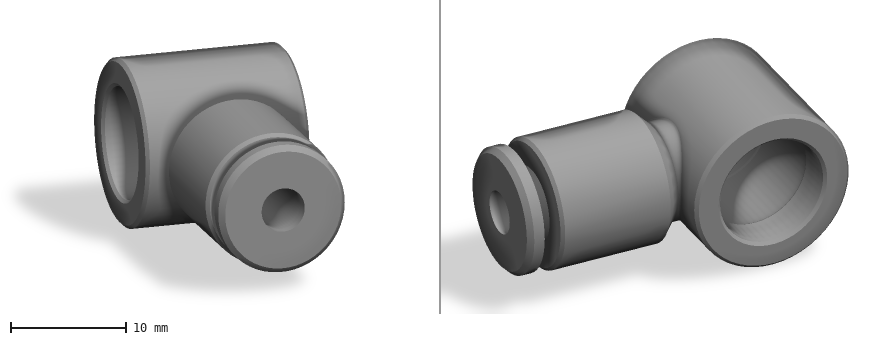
import cadquery as cq

ring_radius = 7.5
ring_length = 2 * ring_radius
ring_chamfer = 0.3
bore_radius = 5.0
bore_chamfer = 0.27
overall_length = 30.3

relief_depth = 0.1
relief_taper = 0.18
relief_half_length = ring_length / 4 + relief_taper

neck_radius = 4.5
neck_end = 7.7
body_radius = 6.0
shoulder_end = neck_end + body_radius - neck_radius
body_end = 19.73
body_chamfer = 0.3
root_fillet = 0.18

stem_radius = 3.55
stem_flare = 0.25
flange_start = 21.3
flange_radius = 5.8
flange_chamfer = 0.48
flange_end = overall_length - ring_radius

passage_radius = 1.97


def cylinder_y(radius, length):
    return cq.Workplane("XZ").circle(radius).extrude(length / 2, both=True)


def revolve_about_x(points):
    profile = cq.Workplane("XY").polyline(points).close()
    return profile.revolve(360, (0, 0, 0), (1, 0, 0))


def make_ring():
    return cylinder_y(ring_radius, ring_length).faces("|Y").chamfer(ring_chamfer)


def make_neck():
    return cq.Workplane("YZ").circle(neck_radius).extrude(neck_end)


def make_body_and_collar():
    return revolve_about_x([
        (neck_end, 0),
        (neck_end, neck_radius),
        (shoulder_end, body_radius),
        (body_end - body_chamfer, body_radius),
        (body_end, body_radius - body_chamfer),
        (body_end, stem_radius),
        (flange_start - stem_flare, stem_radius),
        (flange_start, stem_radius + stem_flare),
        (flange_start, flange_radius),
        (flange_end - flange_chamfer, flange_radius),
        (flange_end, flange_radius - flange_chamfer),
        (flange_end, 0),
    ])


def make_bore():
    half_length = ring_length / 2
    relief_radius = bore_radius + relief_depth
    mouth_radius = bore_radius + bore_chamfer
    profile = cq.Workplane("XY").polyline([
        (0, -half_length),
        (mouth_radius, -half_length),
        (bore_radius, -half_length + bore_chamfer),
        (bore_radius, -relief_half_length),
        (relief_radius, -relief_half_length + relief_taper),
        (relief_radius, relief_half_length - relief_taper),
        (bore_radius, relief_half_length),
        (bore_radius, half_length - bore_chamfer),
        (mouth_radius, half_length),
        (0, half_length),
    ]).close()
    return profile.revolve(360, (0, 0, 0), (0, 1, 0))


def make_passage():
    return cq.Workplane("YZ").circle(passage_radius).extrude(flange_end)


root_box = cq.selectors.BoxSelector(
    (bore_radius, -neck_radius - 0.3, -neck_radius - 0.3),
    (neck_end - 0.3, neck_radius + 0.3, neck_radius + 0.3),
)
ring_with_neck = make_ring().union(make_neck())
ring_with_neck = ring_with_neck.edges(root_box).fillet(root_fillet)

result = ring_with_neck.union(make_body_and_collar()).cut(make_bore()).cut(make_passage())